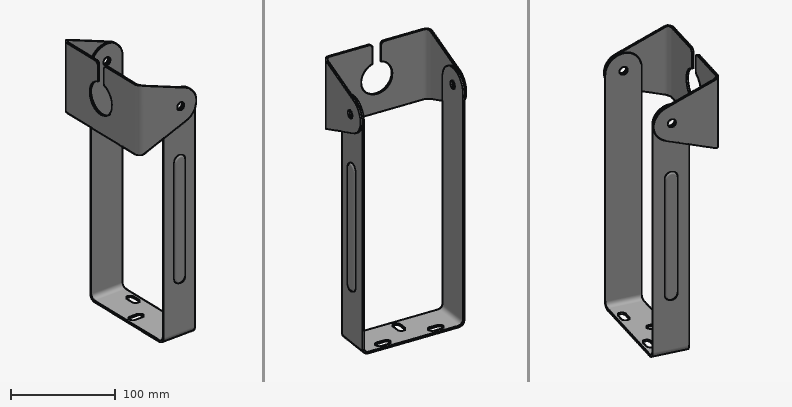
import cadquery as cq
import math

WIDTH = 118.3
DEPTH = 69.8
HEIGHT = 292.0

SHEET = 2.0
BEND_OUTER = 7.0
BEND_INNER = BEND_OUTER - SHEET

LEG_DEPTH = 38.0
PIVOT_R = LEG_DEPTH / 2
PIVOT_HOLE_D = 8.5
BRACKET_HEIGHT = 76.0
PIVOT_Y = DEPTH - PIVOT_R
PIVOT_Z = HEIGHT - BRACKET_HEIGHT / 2

EAR_FLAT = 3.5
OPENING_D = 34.8
SLIT_WIDTH = 9.3
SLIT_CORNER_R = 4.0

STRAP_WIDTH = WIDTH - 2 * SHEET
BASE_SLOT_LENGTH = 16.5
BASE_SLOT_WIDTH = 8.2
BACK_SLOT_SPACING = 59.0
BACK_SLOT_INSET = 7.5
MIDDLE_SLOT_INSET = 27.0

BEAD_WIDTH = 13.5
BEAD_LENGTH = 139.5
BEAD_Z = 130.5
BEAD_HEIGHT = SHEET


def pivot_bore():
    """Cylinder through both sides on the pivot axis."""
    return (
        cq.Workplane("YZ").center(PIVOT_Y, PIVOT_Z)
        .circle(PIVOT_HOLE_D / 2).extrude(WIDTH, both=True)
    )


def bent_channel(plane, width, length, extent):
    """U-shaped sheet along local y, open at the far end, extruded both ways by extent / 2."""
    outer = (
        cq.Workplane(plane).center(0, length / 2).rect(width, length)
        .extrude(extent / 2, both=True)
    )
    inner_width = width - 2 * SHEET
    inner = (
        cq.Workplane(plane).center(0, SHEET + length / 2).rect(inner_width, length)
        .extrude(extent / 2, both=True)
    )
    bend_side = "<Y" if plane == "XY" else "<Z"
    bend_axis = "|Z" if plane == "XY" else "|Y"
    bends = f"{bend_axis} and {bend_side}"
    outer = outer.edges(bends).fillet(BEND_OUTER)
    inner = inner.edges(bends).fillet(BEND_INNER)
    return outer.cut(inner)


def ear_profile():
    """Side outline: full height at the front, tapering tangent to the pivot rounding."""
    run = PIVOT_Y - EAR_FLAT
    rise = BRACKET_HEIGHT / 2
    taper = math.acos(PIVOT_R / math.hypot(run, rise)) - math.atan2(run, rise)
    tangent_y = PIVOT_Y + PIVOT_R * math.sin(taper)
    tangent_dz = PIVOT_R * math.cos(taper)
    return (
        cq.Workplane("YZ")
        .moveTo(0, PIVOT_Z - rise)
        .lineTo(EAR_FLAT, PIVOT_Z - rise)
        .lineTo(tangent_y, PIVOT_Z - tangent_dz)
        .threePointArc((DEPTH, PIVOT_Z), (tangent_y, PIVOT_Z + tangent_dz))
        .lineTo(EAR_FLAT, PIVOT_Z + rise)
        .lineTo(0, PIVOT_Z + rise)
        .close()
        .extrude(WIDTH, both=True)
    )


def cable_opening():
    """Round opening in the front plate, joined to the top edge by a slit."""
    circle = (
        cq.Workplane("XZ").center(0, PIVOT_Z)
        .circle(OPENING_D / 2).extrude(SHEET, both=True)
    )
    slit_height = HEIGHT - PIVOT_Z
    slit = (
        cq.Workplane("XZ").center(0, PIVOT_Z + slit_height / 2)
        .rect(SLIT_WIDTH, slit_height).extrude(SHEET, both=True)
    )
    return circle.union(slit)


def make_bracket():
    channel = bent_channel("XY", WIDTH, DEPTH, BRACKET_HEIGHT)
    body = channel.translate((0, 0, PIVOT_Z)).intersect(ear_profile())
    body = body.cut(cable_opening()).cut(pivot_bore())
    slit_corners = cq.selectors.BoxSelector(
        (-SLIT_WIDTH, -SHEET, HEIGHT - SHEET),
        (SLIT_WIDTH, 2 * SHEET, HEIGHT + SHEET),
    )
    return body.edges("|Y").edges(slit_corners).fillet(SLIT_CORNER_R)


def leg_profile():
    """Side outline of the strap, rounded about the pivot at the top."""
    front = DEPTH - LEG_DEPTH
    return (
        cq.Workplane("YZ")
        .moveTo(front, 0)
        .lineTo(DEPTH, 0)
        .lineTo(DEPTH, PIVOT_Z)
        .threePointArc((PIVOT_Y, PIVOT_Z + PIVOT_R), (front, PIVOT_Z))
        .close()
        .extrude(WIDTH, both=True)
    )


def base_slots():
    """Two slots along X near the back edge and one along Y in the middle."""
    back = (
        cq.Workplane("XY")
        .pushPoints([(side * BACK_SLOT_SPACING / 2, DEPTH - BACK_SLOT_INSET) for side in (-1, 1)])
        .slot2D(BASE_SLOT_LENGTH, BASE_SLOT_WIDTH).extrude(SHEET)
    )
    middle = (
        cq.Workplane("XY").center(0, DEPTH - MIDDLE_SLOT_INSET)
        .slot2D(BASE_SLOT_LENGTH, BASE_SLOT_WIDTH, 90).extrude(SHEET)
    )
    return back.union(middle)


def bead(side):
    """Stadium rooted in the leg sheet at side = -1 or +1, its rim a quarter round of the raised height."""
    wall = cq.Plane(
        origin=(side * (STRAP_WIDTH / 2 - SHEET), PIVOT_Y, BEAD_Z),
        xDir=(0, 1, 0),
        normal=(side, 0, 0),
    )
    raised = cq.Workplane(wall).slot2D(BEAD_LENGTH, BEAD_WIDTH, 90).extrude(SHEET + BEAD_HEIGHT)
    return raised.faces(">X" if side > 0 else "<X").edges().fillet(BEAD_HEIGHT)


def make_strap():
    leg_height = PIVOT_Z + PIVOT_R
    channel = bent_channel("XZ", STRAP_WIDTH, leg_height, LEG_DEPTH)
    body = channel.translate((0, PIVOT_Y, 0)).intersect(leg_profile())
    body = body.cut(base_slots()).cut(pivot_bore())
    for side in (-1, 1):
        body = body.union(bead(side))
    return body


bracket = make_bracket()
strap = make_strap()

result = cq.Compound.makeCompound([bracket.solids().val(), strap.solids().val()])